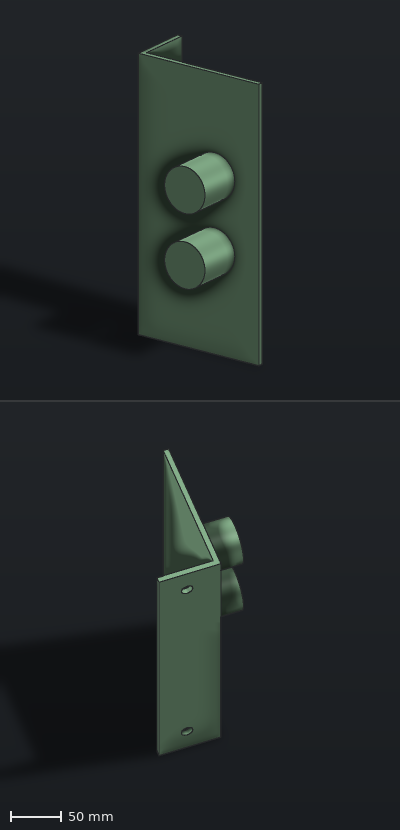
import cadquery as cq

plate_width = 150.0
bracket_height = 300.0
flange_depth = 66.0
thickness = 6.0

hole_diameter = 12.0
hole_to_back_edge = 30.0
hole_to_end = 27.5

knob_diameter = 50.0
knob_length = 50.0
knob_x = 95.0
knob_spacing = 80.0

mid_height = bracket_height / 2
hole_y = flange_depth - hole_to_back_edge
hole_heights = (hole_to_end, bracket_height - hole_to_end)
knob_heights = (mid_height - knob_spacing / 2, mid_height + knob_spacing / 2)


def make_bracket():
    """L-shaped bracket with its outer corner on the Z axis and its front face at Y = 0."""
    profile = [
        (0, 0),
        (plate_width, 0),
        (plate_width, thickness),
        (thickness, thickness),
        (thickness, flange_depth),
        (0, flange_depth),
    ]
    bracket = cq.Workplane("XY").polyline(profile).close().extrude(bracket_height)
    hole_centers = [(hole_y, height) for height in hole_heights]
    holes = cq.Workplane("YZ").pushPoints(hole_centers).circle(hole_diameter / 2).extrude(thickness)
    return bracket.cut(holes)


def make_knob(height):
    """Cylinder reaching forward (-Y) from the front face, centred at the given height."""
    return cq.Workplane("XZ").center(knob_x, height).circle(knob_diameter / 2).extrude(knob_length)


bracket = make_bracket()
knobs = [make_knob(height) for height in knob_heights]

result = cq.Compound.makeCompound([bracket.val(), *[knob.val() for knob in knobs]])